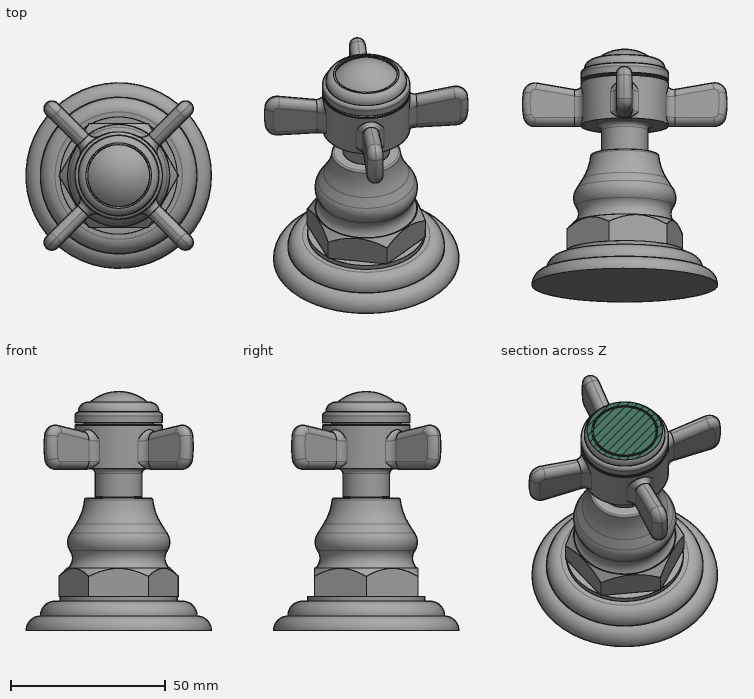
import cadquery as cq
import math

flange_radius = 30.0
flange_height = 4.8
step_radius = 25.35
step_top = 2 * flange_height
collar_radius = 18.9

hex_bottom = 11.1
hex_sides = 6
hex_flats = 33.45
crown_radius = 16.5
crown_top = 20.3

sleeve_foot_radius = 16.3
waist_radius = 15.0
waist_height = 23.25
bead_foot = (15.8, 25.9)
bead_radius = 16.5
bead_height = 28.8
bead_shoulder = (15.6, 31.5)
throat_start = (13.75, 34.5)
throat_end = (11.05, 42.2)
sleeve_rim_round = 0.6
sleeve_top = throat_end[1] + sleeve_rim_round

spindle_radius = 5.1
neck_radius = 7.6
neck_bottom = 43.2
neck_fillet = 1.6
hub_radius = 14.15
hub_bottom = 52.3
hub_top = 66.5
hub_edge_chamfer = 0.2

cap_bottom = 67.1
cap_groove_radius = 11.2
band_top = 69.4
band_round = 1.2
shoulder_radius = 13.05
shoulder_start = 70.7
shoulder_top = 73.8
badge_opening_radius = 10.6
badge_radius = 10.2
badge_groove_floor = 72.6
overall_height = 77.3
badge_rise = overall_height - shoulder_top
badge_chord_radius = 9.35

arm_count = 4
first_arm_angle = 45
arm_reach = 33.1
arm_tip_sag = 1.15
arm_half_thickness = 2.55
edge_flat = 0.03
arm_bottom = 52.1
arm_slope = math.radians(10)
arm_root_top = 64.2
arm_corner_radius = 3.9
root_flare_radius = 2.9
root_flare_steps = 4
root_rise = 2.8
root_anchor_distance = 12.9
root_anchor_half_width = 5.1
root_end = math.sqrt((hub_radius + root_flare_radius) ** 2 - (arm_half_thickness + root_flare_radius) ** 2)
root_flare_angle = math.acos((arm_half_thickness + root_flare_radius) / (hub_radius + root_flare_radius))


def quarter_round(profile, corner_radius, top, size):
    """Add a convex quarter circle that ends at the given top height."""
    diagonal = size * math.sqrt(0.5)
    middle = (corner_radius - size + diagonal, top - size + diagonal)
    return profile.threePointArc(middle, (corner_radius - size, top))


def make_base():
    profile = cq.Workplane("XZ").lineTo(flange_radius, 0)
    profile = quarter_round(profile, flange_radius, flange_height, flange_height)
    profile = profile.lineTo(step_radius, flange_height)
    profile = quarter_round(profile, step_radius, step_top, flange_height)
    profile = (
        profile.lineTo(collar_radius, step_top)
        .lineTo(collar_radius, hex_bottom)
        .lineTo(0, hex_bottom)
        .close()
    )
    return profile.revolve()


def make_nut():
    height = crown_top - hex_bottom
    corner_diameter = hex_flats / math.cos(math.pi / hex_sides)
    prism = cq.Workplane("XY", origin=(0, 0, hex_bottom)).polygon(hex_sides, corner_diameter)
    prism = prism.extrude(height)
    crown = (
        cq.Workplane("XZ")
        .moveTo(0, hex_bottom)
        .lineTo(crown_radius + height, hex_bottom)
        .lineTo(crown_radius, crown_top)
        .lineTo(0, crown_top)
        .close()
        .revolve()
    )
    return prism.intersect(crown)


def make_sleeve():
    profile = (
        cq.Workplane("XZ")
        .moveTo(0, crown_top)
        .lineTo(sleeve_foot_radius, crown_top)
        .threePointArc((waist_radius, waist_height), bead_foot)
        .threePointArc((bead_radius, bead_height), bead_shoulder)
        .lineTo(*throat_start)
        .tangentArcPoint(throat_end, relative=False)
    )
    profile = quarter_round(profile, throat_end[0], sleeve_top, sleeve_rim_round)
    return profile.lineTo(0, sleeve_top).close().revolve()


def make_hub_and_cap():
    fillet_sag = neck_fillet * (1 - math.sqrt(0.5))
    profile = (
        cq.Workplane("XZ")
        .moveTo(0, sleeve_top)
        .lineTo(spindle_radius, sleeve_top)
        .lineTo(spindle_radius, neck_bottom)
        .lineTo(neck_radius, neck_bottom)
        .lineTo(neck_radius, hub_bottom - neck_fillet)
        .threePointArc(
            (neck_radius + fillet_sag, hub_bottom - fillet_sag),
            (neck_radius + neck_fillet, hub_bottom),
        )
        .lineTo(hub_radius, hub_bottom)
        .lineTo(hub_radius, hub_top - hub_edge_chamfer)
        .lineTo(hub_radius - hub_edge_chamfer, hub_top)
        .lineTo(cap_groove_radius, hub_top)
        .lineTo(cap_groove_radius, cap_bottom)
        .lineTo(hub_radius - hub_edge_chamfer, cap_bottom)
        .lineTo(hub_radius, cap_bottom + hub_edge_chamfer)
        .lineTo(hub_radius, band_top)
    )
    profile = quarter_round(profile, hub_radius, band_top + band_round, band_round)
    profile = profile.lineTo(shoulder_radius, shoulder_start)
    profile = quarter_round(profile, shoulder_radius, shoulder_top, shoulder_top - shoulder_start)
    dome_radius = (badge_chord_radius**2 + badge_rise**2) / (2 * badge_rise)
    dome_center = overall_height - dome_radius

    def dome_point(radius):
        return (radius, dome_center + math.sqrt(dome_radius**2 - radius**2))

    return (
        profile.lineTo(badge_opening_radius, shoulder_top)
        .lineTo(badge_opening_radius, badge_groove_floor)
        .lineTo(badge_radius, badge_groove_floor)
        .lineTo(*dome_point(badge_radius))
        .threePointArc(dome_point(badge_radius / 2), (0, overall_height))
        .close()
        .revolve()
    )


def arm_top(distance):
    """Height of the sloping arm ridge at a distance from the axis."""
    return arm_root_top + (distance - root_end) * math.tan(arm_slope)


def make_blade():
    """Sloping paddle along +X with almost fully rounded edges."""
    tip_edge = arm_reach - arm_tip_sag
    tip_top = arm_top(tip_edge)
    thickness = 2 * arm_half_thickness
    plate = (
        cq.Workplane("XZ", origin=(0, arm_half_thickness, 0))
        .moveTo(root_end, arm_bottom)
        .lineTo(tip_edge, arm_bottom)
        .threePointArc((arm_reach, (arm_bottom + tip_top) / 2), (tip_edge, tip_top))
        .lineTo(root_end, arm_root_top)
        .close()
        .extrude(thickness)
    )
    plate = plate.edges("|Y").edges(">X").fillet(arm_corner_radius)
    return plate.edges("(>Y or <Y) and (not <X)").fillet(arm_half_thickness - edge_flat / 2)


def make_root():
    """Flared root that blends a blade into the hub."""
    stations = []
    for step in range(root_flare_steps + 1):
        angle = root_flare_angle * step / root_flare_steps
        distance = root_end - root_flare_radius * math.sin(angle)
        half_width = arm_half_thickness + root_flare_radius * (1 - math.cos(angle))
        stations.append((distance, half_width))
    stations.append((root_anchor_distance, root_anchor_half_width))

    half_height = arm_half_thickness / math.cos(arm_slope)
    lower_end = arm_bottom + arm_half_thickness
    sections = cq.Workplane("YZ")
    plane_distance = 0
    for distance, half_width in stations:
        growth = (half_width - arm_half_thickness) / root_flare_radius
        inward = (root_end - distance) / (root_end - root_anchor_distance)
        upper_height = half_height + root_rise * inward**2
        upper_end = arm_top(distance) - half_height
        lower_depth = arm_half_thickness - (hub_bottom - arm_bottom) * growth
        sections = (
            sections.workplane(offset=distance - plane_distance)
            .moveTo(half_width, lower_end)
            .lineTo(half_width, upper_end)
            .ellipseArc(half_width, upper_height, 0, 180, startAtCurrent=True)
            .lineTo(-half_width, lower_end)
            .ellipseArc(half_width, lower_depth, 180, 360, startAtCurrent=True)
            .close()
        )
        plane_distance = distance
    return sections.loft()


body = make_base().union(make_nut()).union(make_sleeve()).union(make_hub_and_cap())
arm = make_blade().union(make_root())
for index in range(arm_count):
    body = body.union(arm.rotate((0, 0, 0), (0, 0, 1), first_arm_angle + 360 / arm_count * index))

result = body